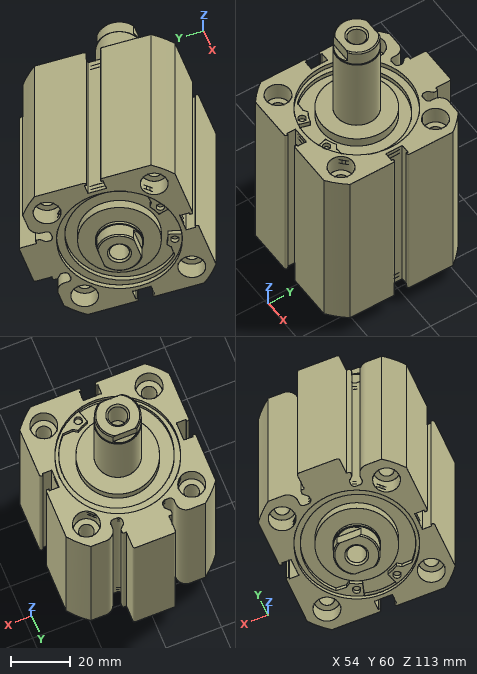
import cadquery as cq
import math


BARREL_WIDTH = 54.0
BARREL_LENGTH = 69.0
CORNER_RADIUS = 34.0
HALF_WIDTH = BARREL_WIDTH / 2

RAIL_HEIGHT = 6.0
RAIL_HALF_WIDTH = 7.7
RAIL_CORNER_RADIUS = 0.8

GROOVE_OUTER_X = 11.4
GROOVE_INNER_X = 7.3
GROOVE_DEPTH = 6.2
GROOVE_BOTTOM_RADIUS = 1.4
GROOVE_MOUTH_RADIUS = 3.7
LIP_X = 9.0
LIP_TOP_DEPTH = 0.3
LIP_TIP_DEPTH = 1.9
LIP_RADIUS = 0.6
THROAT_RADIUS = 0.5

SLOT_DEPTH = 4.5
SLOT_HALF_WIDTH = 3.3
SLOT_MOUTH_HALF_WIDTH = 2.6
SLOT_LIP_THICKNESS = 1.1
SLOT_LIP_RADIUS = 0.7

HOLE_PITCH = 38.0
HOLE_DIAMETER = 5.2
COUNTERBORE_DIAMETER = 9.3
COUNTERBORE_DEPTH = 7.0

BORE_RADIUS = 21.0
RING_GROOVE_RADIUS = 22.3
RING_SETBACK = 1.9
RING_THICKNESS = 1.8

RING_INNER_RADIUS = 19.3
RING_INNER_OFFSET = -1.1
EAR_INNER_RADIUS = 16.3
EAR_NECK_RADIUS = 18.0
EAR_SHOULDER_RADIUS = 20.3
GAP_HALF_ANGLE = 16.4
EAR_TIP_ANGLE = 32.0
EAR_NECK_ANGLE = 34.3
EAR_SHOULDER_ANGLE = 44.0
EAR_HOLE_DIAMETER = 2.7
EAR_HOLE_X = 7.3
EAR_HOLE_Y = -17.1

COVER_BOSS_RADIUS = 14.0
COVER_FLANGE_SETBACK = RING_SETBACK + RING_THICKNESS
COVER_FLANGE_THICKNESS = 10.1

ROD_DIAMETER = 16.0
ROD_TOP_EXTENSION = 37.0
ROD_BOTTOM_EXTENSION = 7.0
ROD_SHOULDER_CHAMFER = 0.2
TIP_DIAMETER = 15.6
TIP_LENGTH = 5.6
TIP_CHAMFER = 0.5
WIDTH_ACROSS_FLATS = 13.0
FLAT_LENGTH = 4.5
FLAT_RUNOUT = 0.9
THREAD_CORE_DIAMETER = 6.7
THREAD_MOUTH_DIAMETER = 8.0
THREAD_DEPTH = 13.6
DRILL_POINT_ANGLE = 118.0


def polar(radius, angle):
    """Point at an angle in degrees from -Y, toward +X."""
    turn = math.radians(angle)
    return (radius * math.sin(turn), -radius * math.cos(turn))


def flip_end(body):
    """Mirror a body from the top end of the barrel to the bottom end."""
    return body.mirror("XY", (0, 0, BARREL_LENGTH / 2))


def round_corners(body, points, radius):
    """Round the Z-parallel edges that pass through the given XY points."""
    for x, y in points:
        nearest = cq.NearestToPointSelector((x, y, BARREL_LENGTH / 2))
        body = body.edges("|Z").edges(nearest).fillet(radius)
    return body


def sensor_slot(angle):
    """Cutter for one lipped slot, drawn on the -Y side and turned about the axis."""
    face_y = -HALF_WIDTH
    lip_y = face_y + SLOT_LIP_THICKNESS
    floor_y = face_y + SLOT_DEPTH
    round_start_x = SLOT_MOUTH_HALF_WIDTH + SLOT_LIP_RADIUS
    round_end_y = face_y + SLOT_LIP_RADIUS
    half = (
        cq.Workplane("XY").moveTo(0, face_y)
        .lineTo(round_start_x, face_y)
        .radiusArc((SLOT_MOUTH_HALF_WIDTH, round_end_y), SLOT_LIP_RADIUS)
        .lineTo(SLOT_MOUTH_HALF_WIDTH, lip_y)
        .lineTo(SLOT_HALF_WIDTH, lip_y)
        .lineTo(SLOT_HALF_WIDTH, floor_y)
        .lineTo(0, floor_y)
        .close().extrude(BARREL_LENGTH)
    )
    slot = half.union(half.mirror("YZ"))
    return slot.rotate((0, 0, 0), (0, 0, 1), angle)


def cut_rail_groove(body, side):
    """Cut and round the undercut groove beside the rail; side is 1 for +X, -1 for -X."""
    outer_x = side * GROOVE_OUTER_X
    inner_x = side * GROOVE_INNER_X
    lip_x = side * LIP_X
    rail_x = side * RAIL_HALF_WIDTH
    floor_y = HALF_WIDTH - GROOVE_DEPTH
    tip_y = HALF_WIDTH - LIP_TIP_DEPTH
    lip_top_y = HALF_WIDTH - LIP_TOP_DEPTH
    throat_y = tip_y - (LIP_X - GROOVE_INNER_X)
    outline = [
        (outer_x, HALF_WIDTH),
        (outer_x, floor_y),
        (inner_x, floor_y),
        (inner_x, throat_y),
        (lip_x, tip_y),
        (lip_x, lip_top_y),
        (rail_x, lip_top_y),
        (rail_x, HALF_WIDTH),
    ]
    body = body.cut(cq.Workplane("XY").polyline(outline).close().extrude(BARREL_LENGTH))
    body = round_corners(body, [(outer_x, HALF_WIDTH)], GROOVE_MOUTH_RADIUS)
    body = round_corners(body, [(outer_x, floor_y), (inner_x, floor_y)], GROOVE_BOTTOM_RADIUS)
    body = round_corners(body, [(inner_x, throat_y)], THROAT_RADIUS)
    return round_corners(body, [(lip_x, tip_y), (lip_x, lip_top_y)], LIP_RADIUS)


def ring_groove():
    """Cutter for the retaining ring groove at the top end."""
    bottom_z = BARREL_LENGTH - RING_SETBACK - RING_THICKNESS
    return cq.Workplane("XY").workplane(offset=bottom_z).circle(RING_GROOVE_RADIUS).extrude(RING_THICKNESS)


def mounting_holes():
    """Cutter for the four through holes and their counterbores at both ends."""
    centres = cq.Workplane("XY").rect(HOLE_PITCH, HOLE_PITCH, forConstruction=True).vertices()
    holes = centres.circle(HOLE_DIAMETER / 2).extrude(BARREL_LENGTH)
    counterbores = centres.circle(COUNTERBORE_DIAMETER / 2).extrude(COUNTERBORE_DEPTH)
    return holes.union(counterbores).union(flip_end(counterbores))


def make_barrel():
    body = cq.Workplane("XY").rect(BARREL_WIDTH, BARREL_WIDTH).extrude(BARREL_LENGTH)
    body = body.intersect(cq.Workplane("XY").circle(CORNER_RADIUS).extrude(BARREL_LENGTH))

    rail_top_y = HALF_WIDTH + RAIL_HEIGHT
    rail_width = 2 * RAIL_HALF_WIDTH
    rail = cq.Workplane("XY").box(rail_width, rail_top_y, BARREL_LENGTH, centered=(True, False, False))
    body = body.union(rail.edges("|Z and >Y").fillet(RAIL_CORNER_RADIUS))
    for side in (-1, 1):
        body = cut_rail_groove(body, side)

    for angle in (-90, 0, 90):
        body = body.cut(sensor_slot(angle))

    body = body.cut(cq.Workplane("XY").circle(BORE_RADIUS).extrude(BARREL_LENGTH))
    body = body.cut(ring_groove()).cut(flip_end(ring_groove()))
    return body.cut(mounting_holes())


def make_cover():
    """Top end cover: a flange inside the bore and a boss flush with the barrel end."""
    length = COVER_FLANGE_SETBACK + COVER_FLANGE_THICKNESS
    base = cq.Workplane("XY").workplane(offset=BARREL_LENGTH - length)
    flange = base.circle(BORE_RADIUS).extrude(COVER_FLANGE_THICKNESS)
    boss = base.circle(COVER_BOSS_RADIUS).extrude(length)
    rod_hole = base.circle(ROD_DIAMETER / 2).extrude(length)
    return flange.union(boss).cut(rod_hole)


def ring_ear(side):
    """Solid for one eared end of the ring, out to the groove radius."""
    outline = [
        polar(EAR_INNER_RADIUS, side * EAR_TIP_ANGLE),
        polar(EAR_NECK_RADIUS, side * EAR_NECK_ANGLE),
        polar(EAR_SHOULDER_RADIUS, side * EAR_SHOULDER_ANGLE),
        polar(RING_GROOVE_RADIUS, side * EAR_SHOULDER_ANGLE),
    ]
    middle_angle = (GAP_HALF_ANGLE + EAR_SHOULDER_ANGLE) / 2
    inner_middle_angle = (GAP_HALF_ANGLE + EAR_TIP_ANGLE) / 2
    return (
        cq.Workplane("XY").polyline(outline)
        .threePointArc(polar(RING_GROOVE_RADIUS, side * middle_angle),
                       polar(RING_GROOVE_RADIUS, side * GAP_HALF_ANGLE))
        .lineTo(*polar(EAR_INNER_RADIUS, side * GAP_HALF_ANGLE))
        .threePointArc(polar(EAR_INNER_RADIUS, side * inner_middle_angle), outline[0])
        .close().extrude(RING_THICKNESS)
    )


def make_ring():
    """Top retaining ring: an eccentric band, open at -Y, with a pierced ear at each end."""
    ring = cq.Workplane("XY").circle(RING_GROOVE_RADIUS).extrude(RING_THICKNESS)
    ring = ring.cut(cq.Workplane("XY").center(0, RING_INNER_OFFSET).circle(RING_INNER_RADIUS)
                    .extrude(RING_THICKNESS))
    gap_reach = 2 * RING_GROOVE_RADIUS
    gap = cq.Workplane("XY").polyline([
        (0, 0),
        polar(gap_reach, -GAP_HALF_ANGLE),
        polar(gap_reach, GAP_HALF_ANGLE),
    ]).close().extrude(RING_THICKNESS)
    ring = ring.cut(gap)
    for side in (-1, 1):
        ring = ring.union(ring_ear(side))
    ear_holes = (
        cq.Workplane("XY").pushPoints([(-EAR_HOLE_X, EAR_HOLE_Y), (EAR_HOLE_X, EAR_HOLE_Y)])
        .circle(EAR_HOLE_DIAMETER / 2).extrude(RING_THICKNESS)
    )
    return ring.cut(ear_holes).translate((0, 0, BARREL_LENGTH - RING_SETBACK - RING_THICKNESS))


def wrench_flat(side, top_z):
    """Cutter for one flat on the top rod tip, sloping out at its lower end."""
    tip_radius = TIP_DIAMETER / 2
    flat_y = side * WIDTH_ACROSS_FLATS / 2
    outline = [
        (flat_y, top_z),
        (flat_y, top_z - FLAT_LENGTH),
        (side * tip_radius, top_z - FLAT_LENGTH - FLAT_RUNOUT),
        (side * tip_radius, top_z),
    ]
    return cq.Workplane("YZ").polyline(outline).close().extrude(tip_radius, both=True)


def threaded_hole(top_z):
    """Cutter for the chamfered hole with a drill point in the top rod tip."""
    core = THREAD_CORE_DIAMETER / 2
    mouth = THREAD_MOUTH_DIAMETER / 2
    point_length = core / math.tan(math.radians(DRILL_POINT_ANGLE / 2))
    profile = [
        (0, top_z),
        (mouth, top_z),
        (core, top_z - (mouth - core)),
        (core, top_z - THREAD_DEPTH),
        (0, top_z - THREAD_DEPTH - point_length),
    ]
    return cq.Workplane("XZ").polyline(profile).close().revolve(360, (0, 0, 0), (0, 1, 0))


def half_rod(extension):
    """Rod from the barrel middle up to its tip, which stands clear of the barrel end."""
    middle_z = BARREL_LENGTH / 2
    top_z = BARREL_LENGTH + extension
    shoulder_z = top_z - TIP_LENGTH
    shank_base = cq.Workplane("XY").workplane(offset=middle_z)
    half = shank_base.circle(ROD_DIAMETER / 2).extrude(shoulder_z - middle_z)
    half = half.faces(">Z").chamfer(ROD_SHOULDER_CHAMFER)
    tip = cq.Workplane("XY").workplane(offset=shoulder_z).circle(TIP_DIAMETER / 2).extrude(TIP_LENGTH)
    half = half.union(tip.faces(">Z").chamfer(TIP_CHAMFER))
    for side in (-1, 1):
        half = half.cut(wrench_flat(side, top_z))
    return half.cut(threaded_hole(top_z))


def make_rod():
    """Through rod, with the same tip at both ends."""
    return half_rod(ROD_TOP_EXTENSION).union(flip_end(half_rod(ROD_BOTTOM_EXTENSION)))


barrel = make_barrel()
rod = make_rod()
top_cover = make_cover()
top_ring = make_ring()
end_bodies = []
for end_body in (top_cover, top_ring):
    end_bodies.append(end_body.val())
    end_bodies.append(flip_end(end_body).val())

result = cq.Compound.makeCompound([barrel.val(), rod.val(), *end_bodies])